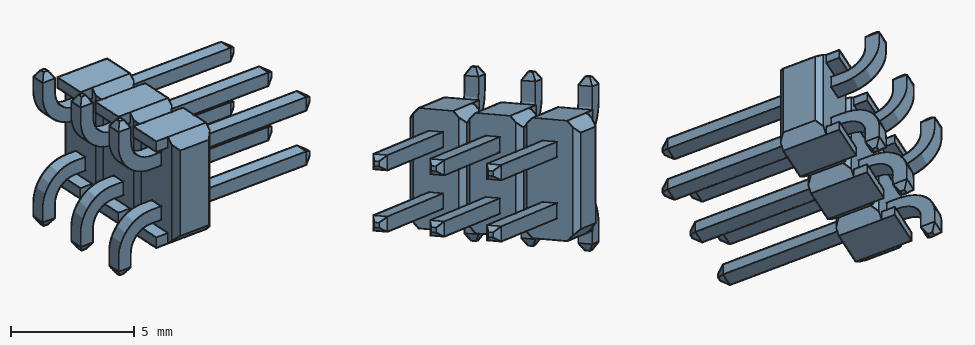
import cadquery as cq
import math


columns = 3
row_signs = (1, -1)
total_width = 7.62
pitch = total_width / columns

housing_depth = 1.95
housing_height = 4.98
corner_chamfer = 0.5
edge_chamfer = 0.25

foot_length = 0.6
foot_thickness = corner_chamfer
foot_width = pitch - 2 * corner_chamfer

pin_size = 0.64
pin_total_length = 9.93
leg_reach = 2.17
leg_span = 7.2
inner_bend_radius = 1.01
tip_length = 0.34
tip_end_size = 0.21

outer_bend_radius = inner_bend_radius + pin_size
row_offset = pitch / 2
mating_tip_y = pin_total_length - leg_reach

column_positions = [(i - (columns - 1) / 2) * pitch for i in range(columns)]


def make_cell():
    """One housing cell, chamfered at its four corners and its four upright edges."""
    corner_cut_block = (
        cq.Workplane("XY")
        .box(pitch, housing_depth, housing_height)
        .edges("|Y")
        .chamfer(corner_chamfer)
    )
    edge_cut_block = (
        cq.Workplane("XY")
        .box(pitch, housing_depth, housing_height)
        .edges("|Z")
        .chamfer(edge_chamfer)
    )
    return corner_cut_block.intersect(edge_cut_block).translate((0, housing_depth / 2, 0))


def make_foot(row_sign):
    """Standoff foot at the top or bottom of a cell."""
    foot_centre_z = row_sign * (housing_height - foot_thickness) / 2
    return (
        cq.Workplane("XY")
        .box(foot_width, foot_length, foot_thickness)
        .translate((0, -foot_length / 2, foot_centre_z))
    )


def make_pin_hole(row_sign):
    """Square through hole that a pin sits in."""
    return (
        cq.Workplane("XY")
        .box(pin_size, housing_depth, pin_size)
        .translate((0, housing_depth / 2, row_sign * row_offset))
    )


def make_housing():
    """All cells joined side by side, with feet and pin holes."""
    cell = make_cell()
    for row_sign in row_signs:
        cell = cell.union(make_foot(row_sign))
        cell = cell.cut(make_pin_hole(row_sign))

    housing = cell.translate((column_positions[0], 0, 0))
    for x in column_positions[1:]:
        housing = housing.union(cell.translate((x, 0, 0)))
    return housing


def make_tip(plane):
    """Pointed end of a pin, tapering along the normal of the given plane."""
    return (
        cq.Workplane(plane)
        .rect(pin_size, pin_size)
        .workplane(offset=tip_length)
        .rect(tip_end_size, tip_end_size)
        .loft(ruled=True)
    )


def make_upper_pin():
    """Pin of the upper row: a straight mating end, and a leg bent upwards."""
    lower_z = row_offset - pin_size / 2
    upper_z = row_offset + pin_size / 2
    bend_y = outer_bend_radius - leg_reach
    bend_z = lower_z + outer_bend_radius
    leg_top_z = leg_span / 2 - tip_length
    mating_end_y = mating_tip_y - tip_length
    leg_outside_y = -leg_reach
    leg_inside_y = leg_outside_y + pin_size
    diagonal = math.sqrt(0.5)

    outer_mid = (bend_y - outer_bend_radius * diagonal, bend_z - outer_bend_radius * diagonal)
    inner_mid = (bend_y - inner_bend_radius * diagonal, bend_z - inner_bend_radius * diagonal)
    bent_bar = (
        cq.Workplane("YZ")
        .moveTo(mating_end_y, lower_z)
        .lineTo(bend_y, lower_z)
        .threePointArc(outer_mid, (leg_outside_y, bend_z))
        .lineTo(leg_outside_y, leg_top_z)
        .lineTo(leg_inside_y, leg_top_z)
        .lineTo(leg_inside_y, bend_z)
        .threePointArc(inner_mid, (bend_y, upper_z))
        .lineTo(mating_end_y, upper_z)
        .close()
        .extrude(pin_size / 2, both=True)
    )

    leg_centre_y = leg_outside_y + pin_size / 2
    mating_plane = cq.Plane(origin=(0, mating_end_y, row_offset), xDir=(1, 0, 0), normal=(0, 1, 0))
    leg_plane = cq.Plane(origin=(0, leg_centre_y, leg_top_z), xDir=(1, 0, 0), normal=(0, 0, 1))
    return bent_bar.union(make_tip(mating_plane)).union(make_tip(leg_plane))


def make_pins():
    """One pin per column in each row; the lower row mirrors the upper one."""
    upper_pin = make_upper_pin()
    lower_pin = upper_pin.mirror("XY")
    pins = []
    for x in column_positions:
        for pin in (upper_pin, lower_pin):
            pins.append(pin.translate((x, 0, 0)).solids().val())
    return pins


housing = make_housing()
pins = make_pins()

result = cq.Compound.makeCompound([housing.solids().val(), *pins])